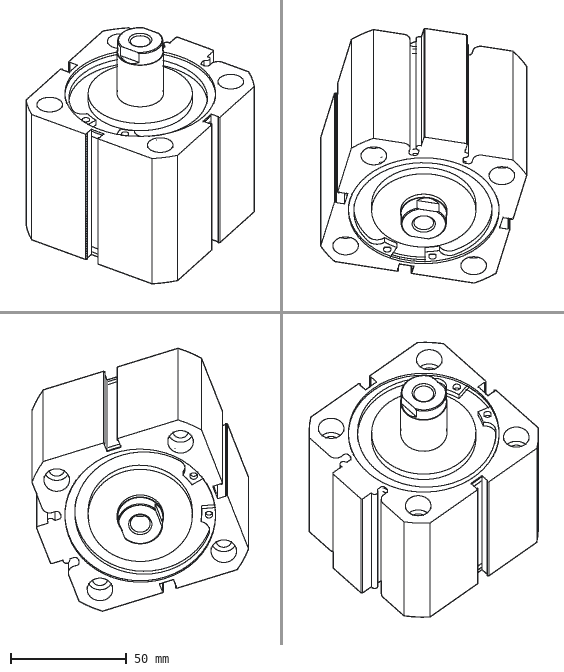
import cadquery as cq
import math


width = 77.5
half_width = width / 2
housing_length = 66.0
mid_height = housing_length / 2
corner_circle_diameter = 99.0
bore_radius = 32.5

mount_circle_diameter = 80.0
mount_offset = mount_circle_diameter / 2 * math.cos(math.radians(45))
mount_hole_diameter = 6.8
counterbore_diameter = 11.0
counterbore_depth = 10.0

slot_width = 6.4
slot_mouth_width = 5.6
slot_depth = 4.5
slot_lip = 0.8
slot_mouth_chamfer = 0.4

rail_height = 5.5
rail_half_width = 9.6
rail_chamfer = 0.5
bulb_radius = 1.4
bulb_center_x = 10.2
bulb_center_y = half_width - bulb_radius
bulb_end_angle = 50.0
neck_half_width = 9.9
neck_top_y = 35.5
groove_outer_x = 13.9
groove_floor_y = 32.3
groove_floor_radius = 1.5
groove_mouth_radius = 3.45

ring_inset = 1.3
ring_thickness = 2.7
slot_web = 0.25
ring_outer_radius = half_width - slot_depth - slot_web
ring_inner_radius = 29.85
ring_inner_offset = -1.7
lug_inner_radius = 26.55
lug_start_angle = 13.5
lug_end_angle = 27.0
lug_cove_low = (15.6, -25.8)
lug_cove_end_x = 18.8
lug_hole_diameter = 3.2
lug_hole_x = 10.0
lug_hole_y = -27.9

collar_inset = ring_inset + ring_thickness
collar_flange_length = 12.0
collar_boss_radius = 22.5
collar_boss_height = 3.8

rod_radius = 10.0
rod_top = housing_length + 28.0
rod_bottom = -8.0
rod_end_radius = 9.75
rod_end_length = 6.35
rod_end_chamfer = 0.4
flats_width = 17.0
flat_length = 5.0
thread_diameter = 8.5
thread_depth = 15.0
thread_mouth_diameter = 10.0
drill_point_angle = 118.0


def mirrored_to_bottom(body):
    """Copy of a top-end body at the opposite end of the housing."""
    return body.mirror("XY", (0, 0, mid_height))


def full_length_bar(bar_width, y_start, y_end):
    """Rectangular bar as long as the housing, centred on X = 0."""
    bar = cq.Workplane("XY").center(0, (y_start + y_end) / 2)
    return bar.rect(bar_width, y_end - y_start).extrude(housing_length)


def sensor_slot():
    """Lipped slot with a bevelled mouth in the -Y face, cut the whole length of the housing."""
    face_y = -half_width
    pocket = full_length_bar(slot_width, face_y + slot_lip, face_y + slot_depth)
    mouth = full_length_bar(slot_mouth_width, face_y, face_y + slot_lip)
    slot = pocket.union(mouth)
    for side in (-1, 1):
        lip_edge = side * slot_mouth_width / 2
        bevel = (
            cq.Workplane("XY")
            .moveTo(lip_edge, face_y)
            .lineTo(lip_edge + side * slot_mouth_chamfer, face_y)
            .lineTo(lip_edge, face_y + slot_mouth_chamfer)
            .close()
            .extrude(housing_length)
        )
        slot = slot.union(bevel)
    return slot


def rail_groove():
    """Groove on the +X side of the rail, leaving a round bulb on the rail's flank."""
    bulb_end = math.radians(bulb_end_angle)
    bulb_end_x = bulb_center_x + bulb_radius * math.cos(bulb_end)
    bulb_end_y = bulb_center_y - bulb_radius * math.sin(bulb_end)
    corner = groove_floor_radius
    corner_mid = corner * (1 - math.cos(math.radians(45)))
    mouth = groove_mouth_radius
    mouth_mid = mouth * (1 - math.cos(math.radians(45)))
    return (
        cq.Workplane("XY")
        .moveTo(bulb_center_x, half_width)
        .threePointArc((bulb_center_x + bulb_radius, bulb_center_y), (bulb_end_x, bulb_end_y))
        .lineTo(neck_half_width, neck_top_y)
        .lineTo(neck_half_width, groove_floor_y + corner)
        .threePointArc(
            (neck_half_width + corner_mid, groove_floor_y + corner_mid),
            (neck_half_width + corner, groove_floor_y),
        )
        .lineTo(groove_outer_x - corner, groove_floor_y)
        .threePointArc(
            (groove_outer_x - corner_mid, groove_floor_y + corner_mid),
            (groove_outer_x, groove_floor_y + corner),
        )
        .lineTo(groove_outer_x, half_width - mouth)
        .threePointArc(
            (groove_outer_x + mouth_mid, half_width - mouth_mid),
            (groove_outer_x + mouth, half_width),
        )
        .close()
        .extrude(housing_length)
    )


def sensor_rail():
    """Rail standing on the +Y face."""
    rail = full_length_bar(2 * rail_half_width, half_width, half_width + rail_height)
    return rail.faces(">Y").edges("|Z").chamfer(rail_chamfer)


def ring_groove():
    """Disc that cuts the upper retaining-ring groove."""
    groove = cq.Workplane("XY").workplane(offset=housing_length - collar_inset)
    return groove.circle(ring_outer_radius).extrude(ring_thickness)


def make_housing():
    block = cq.Workplane("XY").rect(width, width).extrude(housing_length)
    corner_cylinder = cq.Workplane("XY").circle(corner_circle_diameter / 2).extrude(housing_length)
    body = block.intersect(corner_cylinder).union(sensor_rail())
    groove = rail_groove()
    body = body.cut(groove).cut(groove.mirror("YZ"))
    for angle in (-90, 0, 90):
        body = body.cut(sensor_slot().rotate((0, 0, 0), (0, 0, 1), angle))
    body = body.cut(cq.Workplane("XY").circle(bore_radius).extrude(housing_length))
    body = body.cut(ring_groove()).cut(mirrored_to_bottom(ring_groove()))
    for face in (">Z", "<Z"):
        body = (
            body.faces(face)
            .workplane(origin=(0, 0, 0))
            .rect(2 * mount_offset, 2 * mount_offset, forConstruction=True)
            .vertices()
            .cboreHole(mount_hole_diameter, counterbore_diameter, counterbore_depth, mid_height)
        )
    return body


def make_collar():
    """Upper collar: a flange under the retaining ring and a boss around the rod."""
    flange_top = housing_length - collar_inset
    flange = cq.Workplane("XY").workplane(offset=flange_top - collar_flange_length)
    flange = flange.circle(bore_radius).circle(rod_radius).extrude(collar_flange_length)
    boss = cq.Workplane("XY").workplane(offset=flange_top)
    boss = boss.circle(collar_boss_radius).circle(rod_radius).extrude(collar_boss_height)
    return flange.union(boss)


def lug_point(radius, angle):
    """Point at an angle from -Y towards +X."""
    return (radius * math.sin(math.radians(angle)), -radius * math.cos(math.radians(angle)))


def across(point):
    """The same point on the other side of the ring's symmetry plane."""
    return (-point[0], point[1])


def make_retaining_ring():
    """Upper internal retaining ring: an eccentric open ring with two drilled lugs."""
    lug_mid_angle = (lug_start_angle + lug_end_angle) / 2
    gap_outer = lug_point(ring_outer_radius, lug_start_angle)
    gap_inner = lug_point(lug_inner_radius, lug_start_angle)
    lug_mid = lug_point(lug_inner_radius, lug_mid_angle)
    lug_corner = lug_point(lug_inner_radius, lug_end_angle)
    cove_end_y = ring_inner_offset - math.sqrt(ring_inner_radius**2 - lug_cove_end_x**2)
    cove_end = (lug_cove_end_x, cove_end_y)
    return (
        cq.Workplane("XY")
        .workplane(offset=housing_length - collar_inset)
        .moveTo(*gap_outer)
        .lineTo(*gap_inner)
        .threePointArc(lug_mid, lug_corner)
        .threePointArc(lug_cove_low, cove_end)
        .threePointArc((0, ring_inner_offset + ring_inner_radius), across(cove_end))
        .threePointArc(across(lug_cove_low), across(lug_corner))
        .threePointArc(across(lug_mid), across(gap_inner))
        .lineTo(*across(gap_outer))
        .threePointArc((0, ring_outer_radius), gap_outer)
        .close()
        .pushPoints([(lug_hole_x, lug_hole_y), (-lug_hole_x, lug_hole_y)])
        .circle(lug_hole_diameter / 2)
        .extrude(ring_thickness)
    )


def rod_half(length):
    """Rod from Z = 0 up to a threaded end with two wrench flats."""
    shoulder = length - rod_end_length
    rod = cq.Workplane("XY").circle(rod_radius).extrude(shoulder)
    end = cq.Workplane("XY").workplane(offset=shoulder).circle(rod_end_radius).extrude(rod_end_length)
    end = end.faces(">Z").edges().chamfer(rod_end_chamfer)

    flat_y = flats_width / 2
    flat_foot = length - flat_length
    flat_cut = (
        cq.Workplane("YZ")
        .moveTo(flat_y, length)
        .lineTo(flat_y, flat_foot)
        .lineTo(rod_radius, flat_foot - (rod_radius - flat_y))
        .lineTo(rod_radius, length)
        .close()
        .extrude(rod_radius, both=True)
    )
    end = end.cut(flat_cut).cut(flat_cut.mirror("XZ"))

    thread_radius = thread_diameter / 2
    mouth_radius = thread_mouth_diameter / 2
    hole_floor = length - thread_depth
    point_depth = thread_radius / math.tan(math.radians(drill_point_angle / 2))
    tapped_hole = (
        cq.Workplane("XZ")
        .moveTo(0, length)
        .lineTo(mouth_radius, length)
        .lineTo(thread_radius, length - (mouth_radius - thread_radius))
        .lineTo(thread_radius, hole_floor)
        .lineTo(0, hole_floor - point_depth)
        .close()
        .revolve(360, (0, 0, 0), (0, 1, 0))
    )
    return rod.union(end).cut(tapped_hole)


def make_rod():
    lower_half = rod_half(-rod_bottom + mid_height).mirror("XY")
    upper_half = rod_half(rod_top - mid_height)
    return upper_half.union(lower_half).translate((0, 0, mid_height))


housing = make_housing()
rod = make_rod()
bodies = [housing.val(), rod.val()]
for end_body in (make_collar(), make_retaining_ring()):
    bodies.append(end_body.val())
    bodies.append(mirrored_to_bottom(end_body).val())

result = cq.Compound.makeCompound(bodies)